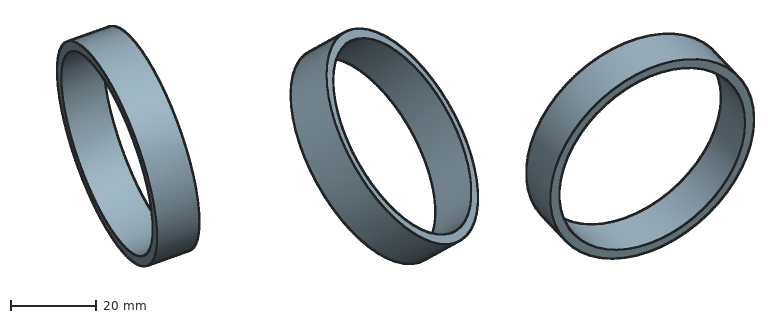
import cadquery as cq

outer_diameter = 56.0
wall_thickness = 2.5
ring_width = 11.0

inner_diameter = outer_diameter - 2 * wall_thickness

result = (
    cq.Workplane("XZ", origin=(0, ring_width / 2, 0))
    .circle(outer_diameter / 2)
    .circle(inner_diameter / 2)
    .extrude(ring_width)
)